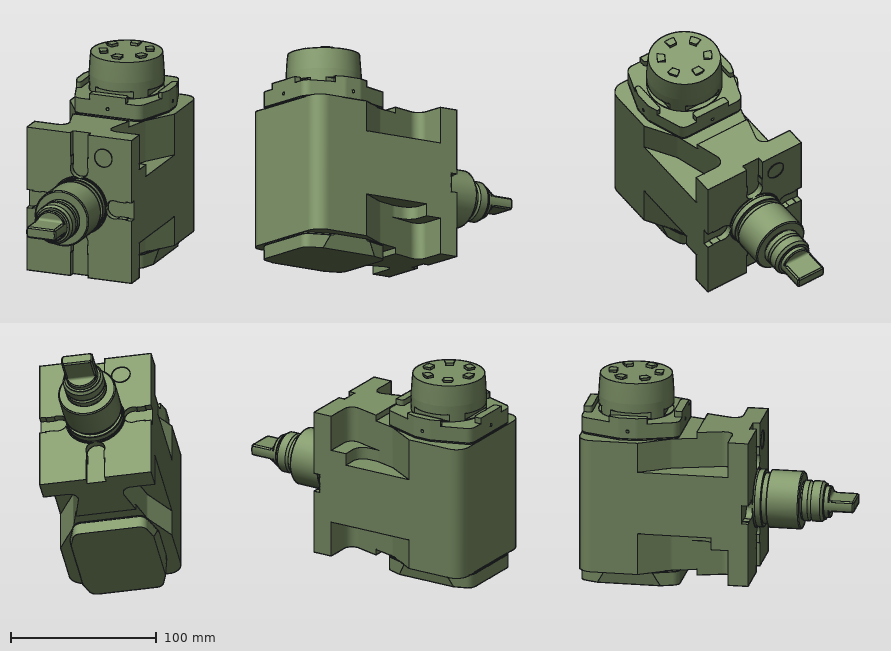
import cadquery as cq
import math


overcut = 1.9
pick_radius = 0.2

width = 78.0
depth = 119.3
face_height = 103.3
rear_height = 95.0
step_y = 39.0
rear_corner_radius = 9.8

pocket_rear_y = 77.2
pocket_bend_x = 25.7
pocket_bend_y = 55.8
pocket_taper = 16
pocket_front_y = 14.0
pocket_floor_z = 26.5
pocket_radius = 6.2
deep_pocket_wall_y = 41.0
deep_pocket_front_y = 26.0
deep_pocket_floor_z = 18.0
deep_pocket_radius = 8.0

slot_depth = 4.7
slot_outer_width = 13.1
slot_inner_width = 12.0
slot_step_radius = 34.7
slot_end_radius = 26.1
relief_radius = 20.7
relief_depth = 0.5
spot_diameter = 13.0
spot_depth = 0.5
spot_x = 17.8
spot_z = 36.2

plate_length = 68.5
plate_half_width = 34.4
plate_half_length = plate_length / 2
plate_y = depth - plate_half_length
plate_flat_half = 6.4
plate_corner_x = 24.6
plate_radius = 6.0
seam_height = 1.1
seam_inset = 0.8
top_plate_z = 59.5
bottom_plate_z = -58.2
bevel_top_x = 31.0
bevel_bottom_x = 29.0

tab_top_z = 63.7
tab_length = 26.7
tab_depth = 5.6
tab_radius = 1.9
pin_hole_diameter = 2.0
pin_hole_depth = 3.8
pin_hole_z = 54.0

turret_radius = 26.0
turret_top_radius = 24.8
turret_mid_radius = 25.5
turret_waist_z = 70.8
turret_top_z = 85.6
notch_distance = 21.8
notch_bottom_z = 60.1
notch_top_z = 64.6

stud_count = 6
stud_inner_radius = 13.3
stud_outer_radius = 19.0
stud_inner_width = 5.3
stud_outer_width = 7.7
stud_foot_width = 5.3
stud_foot_outer_radius = 18.5
stud_top_z = 87.5

collar_radius = 39.8 / 2
collar_step_radius = 39.5 / 2
collar_groove_radius = 35.1 / 2
journal_radius = 28.0 / 2
journal_neck_radius = 13.1
cone_end_radius = 25.0 / 2
tang_radius = 22.0 / 2
shaft_chamfer = 0.8
groove_chamfer = 0.4
collar_step_end = 1.0
groove_start = 5.3
groove_end = 9.0
collar_end = 31.5
neck_end = 32.7
ring_start = 36.6
ring_end = 39.0
ring_depth = 1.0
cone_start = 45.3
cone_end = 47.1
shoulder_end = 47.7
tang_root = 51.3
shaft_end = 68.5
tang_thickness = 7.9
tang_root_radius = 1.9
tang_chamfer = 1.0


def block(x0, x1, y0, y1, z0, z1):
    return cq.Workplane("XY").box(x1 - x0, y1 - y0, z1 - z0, centered=False).translate((x0, y0, z0))


def prism(points, z0, z1):
    return cq.Workplane("XY").workplane(offset=z0).polyline(points).close().extrude(z1 - z0)


def edge_at(x, y):
    """Selector for the upright edge through (x, y)."""
    low = (x - pick_radius, y - pick_radius, -face_height)
    high = (x + pick_radius, y + pick_radius, face_height)
    return cq.selectors.BoxSelector(low, high)


def waist_x(y):
    return pocket_bend_x - (pocket_bend_y - y) * math.tan(math.radians(pocket_taper))


def main_pocket():
    """Pocket on the +X side, from its floor up past the top."""
    outside = width / 2 + overcut
    inner = (waist_x(pocket_front_y), pocket_front_y)
    bend = (pocket_bend_x, pocket_bend_y)
    outline = [(outside, pocket_front_y), inner, bend, (width / 2, pocket_rear_y), (outside, pocket_rear_y)]
    pocket = prism(outline, pocket_floor_z, face_height)
    return pocket.edges(edge_at(*inner)).fillet(pocket_radius).edges(edge_at(*bend)).fillet(pocket_radius)


def deep_pocket():
    """Shorter, deeper continuation of the main pocket."""
    outside = width / 2 + overcut
    wall_x = waist_x(deep_pocket_wall_y)
    inner = (wall_x, deep_pocket_front_y)
    turn = (wall_x, deep_pocket_wall_y)
    bend = (pocket_bend_x, pocket_bend_y)
    outline = [
        (outside, deep_pocket_front_y), inner, turn, bend,
        (width / 2, pocket_rear_y), (outside, pocket_rear_y),
    ]
    pocket = prism(outline, deep_pocket_floor_z, pocket_floor_z)
    for corner, radius in ((inner, deep_pocket_radius), (turn, deep_pocket_radius), (bend, pocket_radius)):
        pocket = pocket.edges(edge_at(*corner)).fillet(radius)
    return pocket


def housing():
    half = width / 2
    body = block(-half, half, 0, step_y, -face_height / 2, face_height / 2)
    body = body.union(block(-half, half, 0, depth, -rear_height / 2, rear_height / 2))
    body = body.edges("|Z and >Y").fillet(rear_corner_radius)
    upper_right = main_pocket()
    upper_left = upper_right.mirror("YZ")
    for pocket in (upper_right, upper_left):
        body = body.cut(pocket).cut(pocket.mirror("XY"))
    deep = deep_pocket()
    return body.cut(deep).cut(deep.rotate((0, 0, 0), (0, 1, 0), 180))


def face_slot():
    """Upper slot: a round-ended run that widens toward the housing edge."""
    reach = face_height
    run = block(-slot_inner_width / 2, slot_inner_width / 2, 0, slot_depth, slot_end_radius, reach)
    mouth = block(-slot_outer_width / 2, slot_outer_width / 2, 0, slot_depth, slot_step_radius, reach)
    end = cq.Workplane("XZ").center(0, slot_end_radius).circle(slot_outer_width / 2).extrude(-slot_depth)
    return run.union(mouth).union(end)


def machine_face(body):
    for turn in range(4):
        body = body.cut(face_slot().rotate((0, 0, 0), (0, 1, 0), 90 * turn))
    body = body.cut(cq.Workplane("XZ").circle(relief_radius).extrude(-relief_depth))
    spot = cq.Workplane("XZ").center(spot_x, spot_z).circle(spot_diameter / 2).extrude(-spot_depth)
    return body.cut(spot)


def plate(z0, z1):
    right = [
        (plate_corner_x, -plate_half_length), (plate_half_width, -plate_flat_half),
        (plate_half_width, plate_flat_half), (plate_corner_x, plate_half_length),
    ]
    left = [(-x, y) for x, y in reversed(right)]
    blank = prism(right + left, z0, z1).edges("|Z").fillet(plate_radius)
    return blank.translate((0, plate_y, 0))


def seam_layer(z0, z1):
    outline = plate(z0, z1).faces("<Z").wires().val().offset2D(-seam_inset)[0]
    return cq.Workplane("XY").add(outline).toPending().extrude(z1 - z0)


def tabs():
    """Four tabs that rise along the plate rim, with rounded inner corners."""
    reach = plate_half_width + overcut
    ring = None
    for turn, half in enumerate((plate_half_length, plate_half_width) * 2):
        inner = half - tab_depth
        tab = block(-tab_length / 2, tab_length / 2, inner, reach, top_plate_z, tab_top_z)
        tab = tab.edges("|Z and <Y").fillet(tab_radius).rotate((0, 0, 0), (0, 0, 1), 90 * turn)
        ring = tab if ring is None else ring.union(tab)
    return ring.translate((0, plate_y, 0)).intersect(plate(top_plate_z, tab_top_z))


def upper_plate():
    base_z = rear_height / 2
    body = plate(base_z + seam_height, top_plate_z).union(seam_layer(base_z, base_z + seam_height))
    body = body.union(tabs())
    for turn, half in enumerate((plate_half_length, plate_half_width) * 2):
        pin = cq.Workplane("XZ").center(0, pin_hole_z).circle(pin_hole_diameter / 2).extrude(pin_hole_depth)
        pin = pin.translate((0, pin_hole_depth - half, 0)).rotate((0, 0, 0), (0, 0, 1), 90 * turn)
        body = body.cut(pin.translate((0, plate_y, 0)))
    return body


def lower_plate():
    base_z = -rear_height / 2
    body = plate(bottom_plate_z, base_z - seam_height).union(seam_layer(base_z - seam_height, base_z))
    trim = [
        (-bevel_top_x, base_z), (bevel_top_x, base_z),
        (bevel_bottom_x, bottom_plate_z), (-bevel_bottom_x, bottom_plate_z),
    ]
    return body.intersect(cq.Workplane("XZ").polyline(trim).close().extrude(-depth))


def stud():
    """Wedge-shaped stud that narrows toward its foot, pointing along +Y."""
    def outline(inner_width, outer_width, outer_radius, z):
        inner_half = inner_width / 2
        outer_half = outer_width / 2
        shoulder = math.sqrt(outer_radius ** 2 - outer_half ** 2)
        sketch = cq.Workplane("XY").workplane(offset=z).moveTo(-inner_half, stud_inner_radius)
        sketch = sketch.lineTo(inner_half, stud_inner_radius).lineTo(outer_half, shoulder)
        return sketch.threePointArc((0, outer_radius), (-outer_half, shoulder)).close().val()

    foot = outline(stud_foot_width, stud_foot_width, stud_foot_outer_radius, turret_top_z)
    head = outline(stud_inner_width, stud_outer_width, stud_outer_radius, stud_top_z)
    return cq.Workplane(obj=cq.Solid.makeLoft([foot, head], True))


def turret():
    mid_z = (turret_waist_z + turret_top_z) / 2
    profile = (
        cq.Workplane("XZ").moveTo(0, top_plate_z).lineTo(turret_radius, top_plate_z)
        .lineTo(turret_radius, turret_waist_z)
        .threePointArc((turret_mid_radius, mid_z), (turret_top_radius, turret_top_z))
        .lineTo(0, turret_top_z).close()
    )
    head = profile.revolve(360, (0, 0), (0, 1))
    reach = turret_radius + overcut
    notch = block(-reach, reach, notch_distance, reach, notch_bottom_z, notch_top_z)
    for turn in range(4):
        head = head.cut(notch.rotate((0, 0, 0), (0, 0, 1), 90 * turn))
    for index in range(stud_count):
        head = head.union(stud().rotate((0, 0, 0), (0, 0, 1), index * 360 / stud_count))
    return head.translate((0, plate_y, 0))


def turned_shaft():
    """Round part of the shaft, turned from (radius, -Y) steps."""
    chamfer = shaft_chamfer
    lip = groove_chamfer
    profile = (
        cq.Workplane("XY").moveTo(0, slot_depth).lineTo(collar_step_radius, slot_depth)
        .lineTo(collar_step_radius, -collar_step_end).lineTo(collar_radius, -collar_step_end)
        .lineTo(collar_radius, lip - groove_start).lineTo(collar_radius - lip, -groove_start)
        .lineTo(collar_groove_radius, -groove_start).lineTo(collar_groove_radius, -groove_end)
        .lineTo(collar_radius - lip, -groove_end).lineTo(collar_radius, -groove_end - lip)
        .lineTo(collar_radius, chamfer - collar_end).lineTo(collar_radius - chamfer, -collar_end)
        .lineTo(journal_neck_radius, -collar_end).lineTo(journal_neck_radius, -neck_end)
        .lineTo(journal_radius, -neck_end).lineTo(journal_radius, -ring_start)
        .threePointArc(
            (journal_radius - ring_depth, -(ring_start + ring_end) / 2),
            (journal_radius, -ring_end),
        )
        .lineTo(journal_radius, -cone_start).lineTo(cone_end_radius, -cone_end)
        .lineTo(cone_end_radius, -shoulder_end).lineTo(tang_radius, -shoulder_end)
        .lineTo(tang_radius, chamfer - tang_root).lineTo(tang_radius - chamfer, -tang_root)
        .lineTo(0, -tang_root).close()
    )
    return profile.revolve(360, (0, 0), (0, 1))


def tang():
    half = tang_thickness / 2
    length = shaft_end - shoulder_end
    blade = cq.Workplane("XZ").workplane(offset=shoulder_end).circle(tang_radius).extrude(length)
    blade = blade.intersect(block(-width, width, -shaft_end, 0, -half, half))
    return blade.faces("<Y or <Z or >Z").edges("not >Y").chamfer(tang_chamfer)


def tang_root_fillets():
    """Concave fillets where the flat tang meets the round shaft."""
    half = tang_thickness / 2
    radius = tang_root_radius
    bar = block(-width, width, -tang_root - radius, -tang_root, -half - radius, half + radius)
    for side in (-1, 1):
        centre = (-tang_root - radius, side * (half + radius))
        hollow = cq.Workplane("YZ").center(*centre).circle(radius).extrude(width, both=True)
        bar = bar.cut(hollow)
    round_bar = cq.Workplane("XZ").workplane(offset=tang_root).circle(tang_radius).extrude(radius)
    return bar.intersect(round_bar)


result = machine_face(housing())
for piece in (upper_plate(), lower_plate(), turret(), turned_shaft(), tang(), tang_root_fillets()):
    result = result.union(piece)